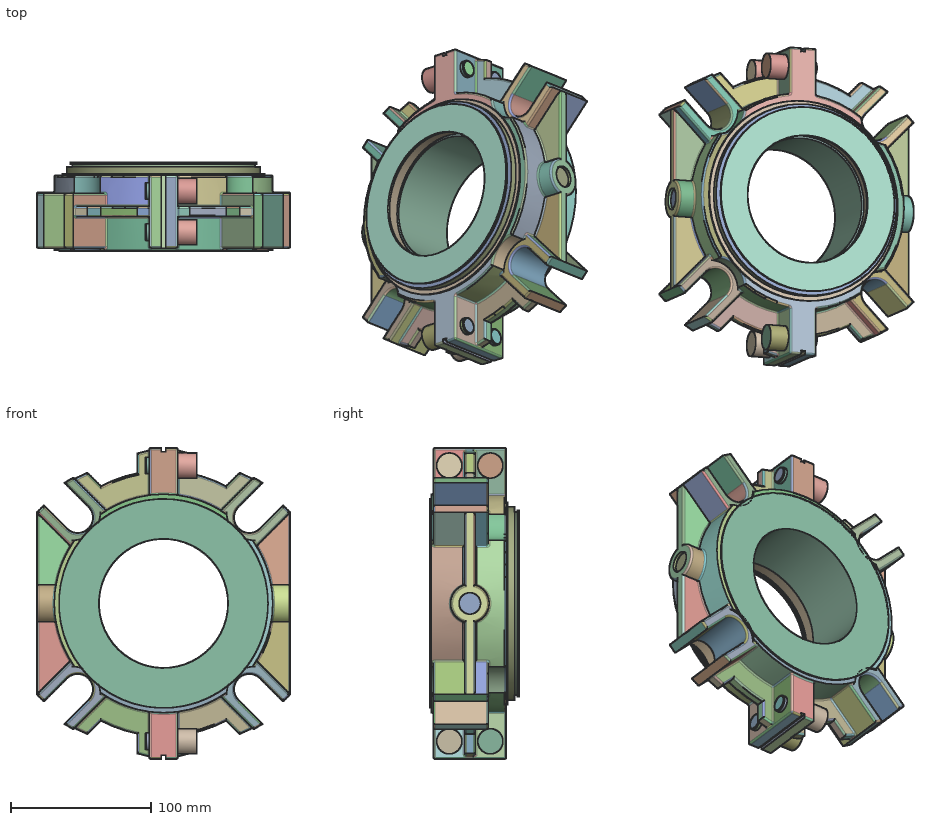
import cadquery as cq
import math


body_radius = 78.0
body_front = -27.5
body_back = 26.0
face_disc_radius = 74.7
face_disc_front = -28.5
back_step_radius = 72.5
back_step_end = 27.0
flange_radius = 138.5 / 2
flange_end = 32.0
groove_radius = 130.9 / 2
groove_end = 33.8
rim_radius = 133.3 / 2
rim_end = 35.0
bore_radius = 92.0 / 2
back_bore_radius = 95.3 / 2
back_bore_start = 23.5
bore_lip_radius = 92.2 / 2
bore_lip_start = 33.3

rib_thickness = 7.5
half_width = 90.5
half_height = 111.0
top_rib_radius = 94.9
shoulder_half_width = 18.9
shoulder_height = 107.0
strip_offset = 27.5
strip_end = 104.5
strip_start = 108.9
lug_rib_height = 109.3

side_rib_anchor = 102.2
top_rib_anchor = 95.5
rib_anchor_offset = 15.3

arm_front = -26.2
arm_back = 13.0
slot_half_width = 10.9
slot_center = 86.7
arm_half_width = 18.0
arm_root = 66.7
side_arm_end = half_width * math.sqrt(2) - arm_half_width
top_arm_tip = 110.9
top_arm_end = 109.0
scallop_radius = 20.0
scallop_center = 92.0

lug_half_width = 10.2
lug_half_depth = body_back
lug_root = 66.7
lug_slot_width = 3.0
lug_slot_depth = 2.7
bolt_height = 98.5
bolt_offset = 14.7
bolt_head_radius = 18.0 / 2
bolt_head_end = 23.8
bolt_tip_radius = 12.0 / 2
bolt_tip_end = 13.0
bolt_tip_chamfer = 0.7
boss_radius = 13.8
boss_root = 66.7
boss_recess_radius = 15.3 / 2
boss_recess_depth = 2.2

edge_round = 1.3
lug_round = 1.3
root_fillet = 1.0
tolerance = 0.02


def plate(outline, y_front, y_back):
    """Extrude an XZ outline between two Y positions."""
    return outline.extrude(y_front - y_back).translate((0, y_front, 0))


def disc(radius, y_front, y_back):
    return plate(cq.Workplane("XZ").circle(radius), y_front, y_back)


def diagonal(along, across):
    """Point on the +X +Z diagonal; a positive offset leans towards +Z."""
    return ((along - across) / math.sqrt(2), (along + across) / math.sqrt(2))


def round_faces(solid):
    """Round the rims of the front and back faces."""
    return solid.faces("<Y or >Y").edges().fillet(edge_round)


def near(value, target):
    return abs(value - target) < tolerance


def is_wall_root(point, y_front, y_back):
    """True on the cylindrical body wall between two Y positions."""
    return near(math.hypot(point.x, point.z), body_radius) and y_front < point.y < y_back


def is_top_rib_root(point):
    """True where a face of the top or bottom rib meets a lug or an arm."""
    across = (abs(point.z) - abs(point.x)) / math.sqrt(2)
    on_support = near(abs(point.x), lug_half_width) or near(across, arm_half_width)
    return near(abs(point.y), rib_thickness / 2) and on_support


def fillet_where(solid, is_root):
    edges = [edge for edge in solid.edges().vals() if is_root(edge.positionAt(0.5))]
    return solid.newObject(edges).fillet(root_fillet)


def both_sides(solid, plane):
    return solid.union(solid.mirror(plane))


def mirrored_quadrants(solid):
    return both_sides(both_sides(solid, "YZ"), "XY")


def make_body():
    body = disc(body_radius, body_front, body_back).union(both_sides(make_lug(), "XY"))
    body = fillet_where(
        body, lambda point: is_wall_root(point, body_front + tolerance, body_back - tolerance)
    )

    x, z = diagonal(scallop_center, 0)
    scallop = disc(scallop_radius, body_front, body_back).translate((x, 0, z))
    for cutter in (scallop, scallop.mirror("YZ")):
        body = body.cut(cutter).cut(cutter.mirror("XY"))
    body = body.faces(">Y").edges().fillet(edge_round)

    steps = (
        (face_disc_radius, face_disc_front, body_front),
        (back_step_radius, body_back, back_step_end),
        (flange_radius, back_step_end, flange_end),
        (groove_radius, flange_end, groove_end),
        (rim_radius, groove_end, rim_end),
    )
    for radius, y_front, y_back in steps:
        body = body.union(disc(radius, y_front, y_back))
    return body


def make_forked_arm():
    outline = (
        cq.Workplane("XZ")
        .moveTo(*diagonal(arm_root, -arm_half_width))
        .lineTo(*diagonal(side_arm_end, -arm_half_width))
        .lineTo(*diagonal(side_arm_end, -slot_half_width))
        .lineTo(*diagonal(slot_center, -slot_half_width))
        .threePointArc(
            diagonal(slot_center - slot_half_width, 0),
            diagonal(slot_center, slot_half_width),
        )
        .lineTo(*diagonal(top_arm_tip, slot_half_width))
        .lineTo(*diagonal(top_arm_end, arm_half_width))
        .lineTo(*diagonal(arm_root, arm_half_width))
        .close()
    )
    return round_faces(plate(outline, arm_front, arm_back))


def make_side_rib():
    corner_x, corner_z = diagonal(side_arm_end, -arm_half_width)
    inner_x, inner_z = diagonal(side_rib_anchor, -rib_anchor_offset)
    corners = [(0, 0), (inner_x, inner_z), (corner_x, corner_z), (corner_x, -corner_z), (inner_x, -inner_z)]
    outline = cq.Workplane("XZ").polyline(corners).close()
    return round_faces(plate(outline, -rib_thickness / 2, rib_thickness / 2))


def make_top_rib():
    strip_root = math.sqrt(top_rib_radius**2 - strip_offset**2)
    strip_x, strip_z = diagonal(strip_root, strip_offset)
    mid_angle = (math.atan2(strip_x, strip_z) + math.asin(shoulder_half_width / top_rib_radius)) / 2
    arc_middle = (top_rib_radius * math.sin(mid_angle), top_rib_radius * math.cos(mid_angle))
    shoulder_foot = math.sqrt(top_rib_radius**2 - shoulder_half_width**2)
    outline = (
        cq.Workplane("XZ")
        .lineTo(*diagonal(top_rib_anchor, rib_anchor_offset))
        .lineTo(*diagonal(strip_start, rib_anchor_offset))
        .lineTo(*diagonal(strip_end, strip_offset))
        .lineTo(strip_x, strip_z)
        .threePointArc(arc_middle, (shoulder_half_width, shoulder_foot))
        .lineTo(shoulder_half_width, shoulder_height)
        .lineTo(lug_half_width, lug_rib_height)
        .lineTo(0, lug_rib_height)
        .close()
    )
    half = plate(outline, -rib_thickness / 2, rib_thickness / 2)
    return round_faces(half.union(half.mirror("YZ")))


def make_lug():
    lug = (
        cq.Workplane("XY")
        .box(2 * lug_half_width, 2 * lug_half_depth, half_height - lug_root, centered=(True, True, False))
        .translate((0, 0, lug_root))
        .edges("(|Z and <Y) or (|X and >Z and <Y) or (|Y and >Z)")
        .fillet(lug_round)
    )
    return lug


def make_lug_slot():
    return cq.Workplane("XY").box(lug_slot_width, 2 * lug_half_depth, 2 * lug_slot_depth).translate(
        (0, 0, half_height)
    )


def make_bolt(y):
    head = cq.Workplane("YZ").center(y, bolt_height).circle(bolt_head_radius).extrude(bolt_head_end)
    tip = (
        cq.Workplane("YZ")
        .center(y, bolt_height)
        .circle(bolt_tip_radius)
        .extrude(-bolt_tip_end)
        .faces("<X")
        .chamfer(bolt_tip_chamfer)
    )
    return head.union(tip)


def make_boss():
    return (
        cq.Workplane("YZ")
        .workplane(offset=boss_root)
        .circle(boss_radius)
        .extrude(half_width - boss_root)
        .faces(">X")
        .edges()
        .fillet(edge_round)
    )


def make_boss_recess():
    return (
        cq.Workplane("YZ")
        .workplane(offset=half_width - boss_recess_depth)
        .circle(boss_recess_radius)
        .extrude(boss_recess_depth)
    )


result = make_body()
result = result.union(mirrored_quadrants(make_forked_arm()))
result = result.union(both_sides(make_side_rib(), "YZ"))
result = result.union(both_sides(make_top_rib(), "XY"))
result = result.union(both_sides(make_boss(), "YZ"))
result = fillet_where(
    result,
    lambda point: is_wall_root(point, arm_front - tolerance, boss_radius + tolerance)
    or is_top_rib_root(point),
)
for bolt_y in (-bolt_offset, bolt_offset):
    result = result.union(both_sides(make_bolt(bolt_y), "XY"))

result = result.cut(both_sides(make_lug_slot(), "XY"))
result = result.cut(both_sides(make_boss_recess(), "YZ"))
result = result.cut(disc(bore_radius, face_disc_front, rim_end))
result = result.cut(disc(bore_lip_radius, bore_lip_start, rim_end))
result = result.cut(disc(back_bore_radius, back_bore_start, bore_lip_start))